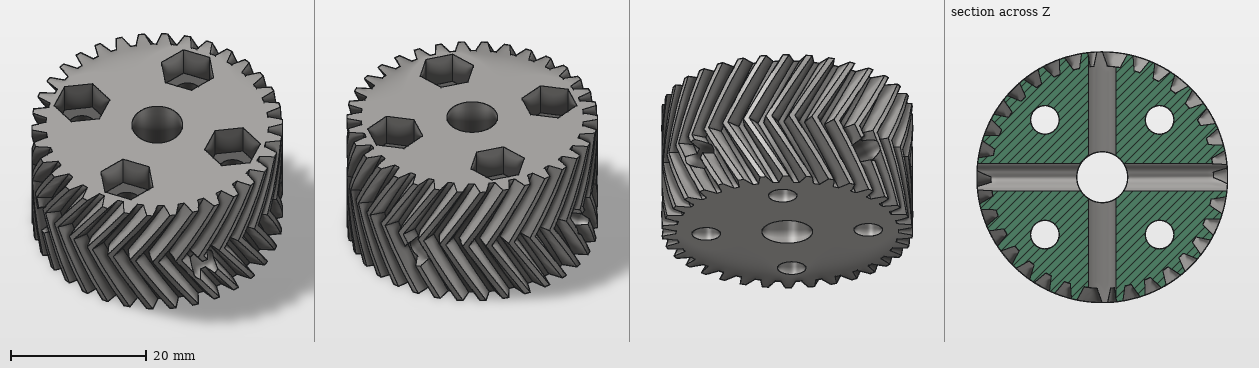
import cadquery as cq
import math

tooth_count = 34
tip_radius = 18.55
root_radius = 16.42
gear_width = 20.0
half_width = gear_width / 2

pitch_angle = 360 / tooth_count
tip_half_angle = 1.4
root_half_angle = 3.8
twist_angle = 1.75 * pitch_angle

shaft_diameter = 7.5

bolt_spacing = 16.95
bolt_diameter = 4.2
nut_corner_diameter = 8.3
nut_pocket_depth = 5.0

cross_hole_diameter = 4.0
cross_hole_drop = 3.0


def polar_point(radius, angle):
    """Point at the given radius and angle in degrees."""
    return (
        radius * math.cos(math.radians(angle)),
        radius * math.sin(math.radians(angle)),
    )


def gear_outline(first_tooth_angle):
    """Closed tooth outline with straight flanks and round tips and roots."""
    outline = cq.Workplane("XY").moveTo(*polar_point(root_radius, first_tooth_angle - root_half_angle))
    for tooth in range(tooth_count):
        center = first_tooth_angle + tooth * pitch_angle
        next_root_start = center + pitch_angle - root_half_angle
        outline = (
            outline
            .lineTo(*polar_point(tip_radius, center - tip_half_angle))
            .threePointArc(
                polar_point(tip_radius, center),
                polar_point(tip_radius, center + tip_half_angle),
            )
            .lineTo(*polar_point(root_radius, center + root_half_angle))
            .threePointArc(
                polar_point(root_radius, center + pitch_angle / 2),
                polar_point(root_radius, next_root_start),
            )
        )
    return outline.close()


def herringbone_blank():
    """Two mirrored helical halves, with a tooth centred on +Y at both faces."""
    upper_half = gear_outline(90 - twist_angle).twistExtrude(half_width, twist_angle)
    lower_half = upper_half.mirror("XY")
    return upper_half.union(lower_half)


def bolt_cutter(direction):
    """Through hole with a hexagonal nut pocket in the top face, a flat facing the axis."""
    bolt_circle_radius = bolt_spacing / math.sqrt(2)
    hole = cq.Workplane("XY").circle(bolt_diameter / 2).extrude(half_width, both=True)
    pocket = (
        cq.Workplane("XY", origin=(0, 0, half_width - nut_pocket_depth))
        .polygon(6, nut_corner_diameter)
        .extrude(nut_pocket_depth)
        .rotate((0, 0, 0), (0, 0, 1), 30)
    )
    return (
        hole.union(pocket)
        .translate((bolt_circle_radius, 0, 0))
        .rotate((0, 0, 0), (0, 0, 1), direction)
    )


def cross_hole_cutter(plane):
    """Hole right across the gear, square to the given plane."""
    return (
        cq.Workplane(plane, origin=(0, 0, -cross_hole_drop))
        .circle(cross_hole_diameter / 2)
        .extrude(2 * tip_radius, both=True)
    )


cutters = cq.Workplane("XY").circle(shaft_diameter / 2).extrude(half_width, both=True)

for bolt_direction in (45, 135, 225, 315):
    cutters = cutters.union(bolt_cutter(bolt_direction))

for cross_plane in ("XZ", "YZ"):
    cutters = cutters.union(cross_hole_cutter(cross_plane))

result = herringbone_blank().cut(cutters).solids()